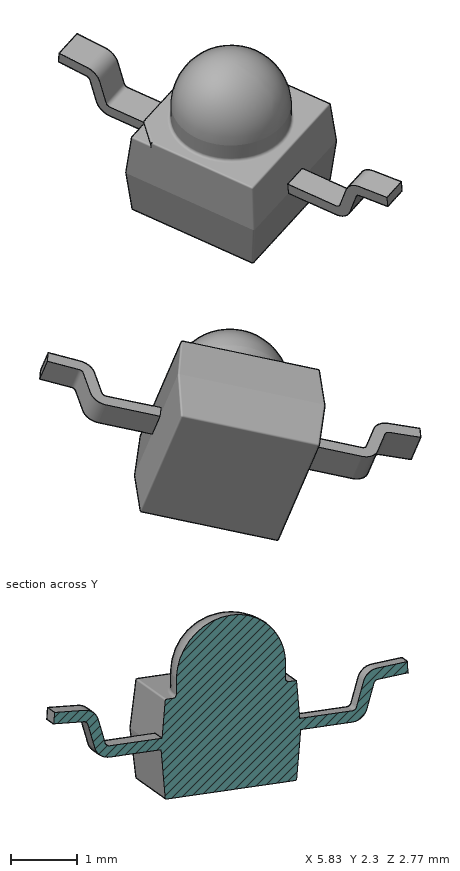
import cadquery as cq
import math

total_length = 5.83
total_height = 2.77

body_width = 2.3
body_height = 1.585
parting_height = body_height / 2
draft_angle = 5.0
body_edge_radius = 0.03

notch_depth = 0.065
notch_reach = 1.815

lens_radius = 0.905
lens_base_radius = 0.045
dome_height = 0.87
dome_base_height = total_height - dome_height
dome_radius = (lens_radius**2 + dome_height**2) / (2 * dome_height)

lead_thickness = 0.185
left_lead_width = 0.5
right_lead_width = 0.4
lead_inner_bend = 0.07
lead_outer_bend = lead_inner_bend + lead_thickness
lead_bend_x = 2.115
riser_angle = 73.5
foot_angle = 4.0
foot_tip_height = 1.54
lead_start_x = body_width / 4


def make_body_half():
    """Half of the body above the parting plane, tapering upward, with rounded corners."""
    half = (
        cq.Workplane("XY")
        .workplane(offset=parting_height)
        .rect(body_width, body_width)
        .extrude(parting_height, taper=draft_angle)
    )
    return half.edges("not #Z").fillet(body_edge_radius)


def make_body():
    """Two tapered halves with a notched corner and softened edges."""
    upper = make_body_half()
    lower = upper.mirror("XY", (0, 0, parting_height)).faces("<Z").edges().fillet(body_edge_radius)

    corner = body_width / 2
    notch_end = notch_reach - corner
    notch_floor = body_height - notch_depth
    notch = (
        cq.Workplane("XY")
        .workplane(offset=notch_floor)
        .polyline([(-corner, -corner), (-notch_end, -corner), (-corner, -notch_end)])
        .close()
        .extrude(notch_depth)
    )
    upper = upper.cut(notch)
    upper = upper.faces(">Z").edges().fillet(body_edge_radius)
    floor_face = cq.selectors.BoxSelector(
        (-corner, -corner, notch_floor - notch_depth / 4),
        (-notch_end, -notch_end, notch_floor + notch_depth / 4),
    )
    floor_outer_edges = upper.faces(floor_face).edges("|X or |Y or %CIRCLE or %ELLIPSE or %BSPLINE")
    upper = floor_outer_edges.fillet(body_edge_radius)
    return upper.union(lower)


def add_lens(body):
    """Domed cylinder blended into the top of the body."""
    lens = (
        cq.Workplane("XZ")
        .moveTo(0, parting_height)
        .lineTo(lens_radius, parting_height)
        .lineTo(lens_radius, dome_base_height)
        .radiusArc((0, total_height), -dome_radius)
        .close()
        .revolve(360, (0, 0), (0, 1))
    )
    seam = cq.selectors.BoxSelector(
        (-lens_radius, -lens_radius, body_height - lens_base_radius),
        (lens_radius, lens_radius, body_height + lens_base_radius),
    )
    return body.union(lens).edges("%CIRCLE").edges(seam).fillet(lens_base_radius)


def make_lead(width):
    """Lead of constant thickness pointing toward +X."""
    half = lead_thickness / 2
    riser = math.radians(riser_angle)
    foot = math.radians(foot_angle)
    tip_x = total_length / 2 - half * math.sin(foot)
    lead_z = parting_height + half

    rise = foot_tip_height - lead_z - (tip_x - lead_bend_x) * math.tan(foot)
    upper_bend_dx = rise / (math.tan(riser) - math.tan(foot))
    upper_bend_x = lead_bend_x + upper_bend_dx
    upper_bend_z = lead_z + upper_bend_dx * math.tan(riser)

    def offset_point(x, z, angle_in, angle_out, side):
        bisector = (angle_in + angle_out) / 2
        miter = side * half / math.cos((angle_out - angle_in) / 2)
        return (x - miter * math.sin(bisector), z + miter * math.cos(bisector))

    axis = [
        (lead_start_x, lead_z, 0, 0),
        (lead_bend_x, lead_z, 0, riser),
        (upper_bend_x, upper_bend_z, riser, foot),
        (tip_x, foot_tip_height, foot, foot),
    ]
    top_side = [offset_point(*node, 1) for node in axis]
    bottom_side = [offset_point(*node, -1) for node in axis]
    lead = cq.Workplane("XZ").polyline(top_side + bottom_side[::-1]).close().extrude(width / 2, both=True)

    def bend_edge(point):
        return cq.selectors.NearestToPointSelector((point[0], 0, point[1]))

    for inside, outside in ((top_side[1], bottom_side[1]), (bottom_side[2], top_side[2])):
        lead = lead.edges("|Y").edges(bend_edge(inside)).fillet(lead_inner_bend)
        lead = lead.edges("|Y").edges(bend_edge(outside)).fillet(lead_outer_bend)
    return lead


right_lead = make_lead(right_lead_width)
left_lead = make_lead(left_lead_width).mirror("YZ")
result = add_lens(make_body()).union(right_lead).union(left_lead)